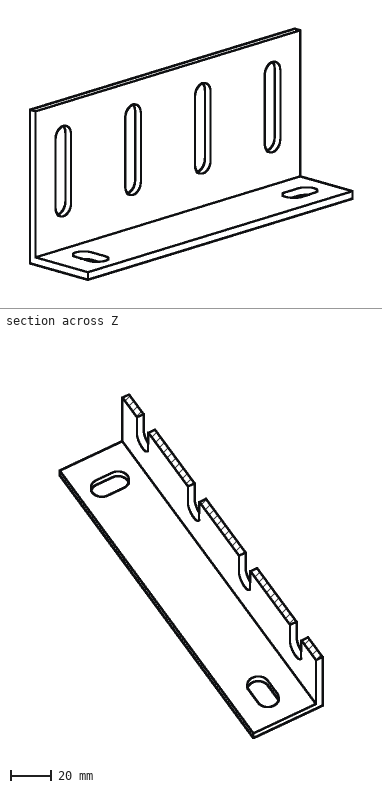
import cadquery as cq

length = 190.0
foot_width = 40.0
wall_height = 80.0
thickness = 4.0

slot_width = 11.0
wall_slot_length = 47.0
wall_slot_height = 44.5
wall_slot_count = 4
foot_slot_length = 20.3
foot_slot_x = 22.8
end_margin = 20.0

slot_span = length - 2 * end_margin
wall_slot_pitch = slot_span / (wall_slot_count - 1)


def angle_profile():
    """L-shaped bar running along Y from the origin."""
    wall = cq.Workplane("XY").box(thickness, length, wall_height, centered=False)
    foot = cq.Workplane("XY").box(foot_width, length, thickness, centered=False)
    return wall.union(foot)


def wall_slots():
    """Evenly spaced upright slots through the wall."""
    centers = [
        (end_margin + i * wall_slot_pitch, wall_slot_height)
        for i in range(wall_slot_count)
    ]
    return (
        cq.Workplane("YZ")
        .pushPoints(centers)
        .slot2D(wall_slot_length, slot_width, 90)
        .extrude(thickness)
    )


def foot_slot(y, angle):
    """Slot through the foot; the angle is measured from X."""
    return (
        cq.Workplane("XY")
        .center(foot_slot_x, y)
        .slot2D(foot_slot_length, slot_width, angle)
        .extrude(thickness)
    )


cross_slot = foot_slot(end_margin, 0)
lengthwise_slot = foot_slot(length - end_margin, 90)

result = angle_profile().cut(wall_slots()).cut(cross_slot).cut(lengthwise_slot)